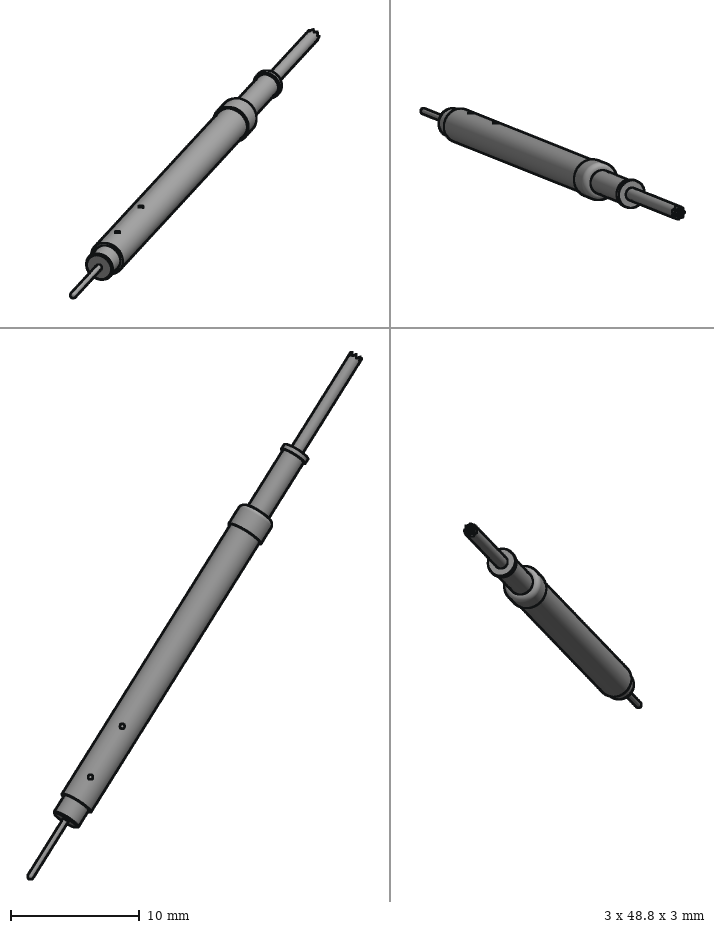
import cadquery as cq

TOTAL_LENGTH = 48.8

PIN_LENGTH = 5.45
PLUG_LENGTH = 1.6
BARREL_LENGTH = 25.1
HEAD_LENGTH = 1.95
SLEEVE_LENGTH = 5.25
COLLAR_LENGTH = 0.45

PIN_DIAMETER = 0.5
PLUG_DIAMETER = 2.25
BARREL_DIAMETER = 2.7
HEAD_DIAMETER = 3.0
SLEEVE_DIAMETER = 1.9
COLLAR_DIAMETER = 2.2
PLUNGER_DIAMETER = 1.02

PLUG_CHAMFER = 0.1
HEAD_FILLET = 0.45

TOOTH_PITCH = 0.365
TOOTH_DEPTH = 0.3

DIMPLE_DIAMETER = 0.4
DIMPLE_DEPTH = 0.15
DIMPLE_FROM_BARREL_END = 2.1
DIMPLE_SPACING = 4.75

pin_end = -TOTAL_LENGTH / 2
plug_start = pin_end + PIN_LENGTH
barrel_start = plug_start + PLUG_LENGTH
head_start = barrel_start + BARREL_LENGTH
sleeve_start = head_start + HEAD_LENGTH
collar_start = sleeve_start + SLEEVE_LENGTH
plunger_start = collar_start + COLLAR_LENGTH
plunger_end = TOTAL_LENGTH / 2


def rod(start, end, diameter):
    """Round section along Y between two stations."""
    return cq.Workplane("XZ", origin=(0, start, 0)).circle(diameter / 2).extrude(start - end)


def make_pin():
    """Tail pin ending in a hemisphere."""
    radius = PIN_DIAMETER / 2
    dome_centre = pin_end + radius
    dome = cq.Workplane("XY", origin=(0, dome_centre, 0)).sphere(radius)
    return rod(dome_centre, plug_start, PIN_DIAMETER).union(dome)


def tip_groove(offset):
    """V groove across the plunger tip, running along Z at the given X offset."""
    half_width = TOOTH_PITCH / 2
    return (
        cq.Workplane("XY")
        .moveTo(offset - half_width, plunger_end)
        .lineTo(offset, plunger_end - TOOTH_DEPTH)
        .lineTo(offset + half_width, plunger_end)
        .close()
        .extrude(PLUNGER_DIAMETER, both=True)
    )


def make_plunger():
    """Plunger rod with V grooves crossing its tip in both directions."""
    plunger = rod(plunger_start, plunger_end, PLUNGER_DIAMETER)
    for offset in (-TOOTH_PITCH / 2, TOOTH_PITCH / 2):
        groove = tip_groove(offset)
        crossing_groove = groove.rotate((0, 0, 0), (0, 1, 0), 90)
        plunger = plunger.cut(groove).cut(crossing_groove)
    return plunger


def dimple(station):
    """Blind round recess in the top of the barrel."""
    floor = BARREL_DIAMETER / 2 - DIMPLE_DEPTH
    return (
        cq.Workplane("XY", origin=(0, station, floor))
        .circle(DIMPLE_DIAMETER / 2)
        .extrude(BARREL_DIAMETER / 2)
    )


def make_barrel():
    """Long barrel with two detent dimples near its tail end."""
    barrel = rod(barrel_start, head_start, BARREL_DIAMETER)
    first_dimple = barrel_start + DIMPLE_FROM_BARREL_END
    for station in (first_dimple, first_dimple + DIMPLE_SPACING):
        barrel = barrel.cut(dimple(station))
    return barrel


plug = rod(plug_start, barrel_start, PLUG_DIAMETER).faces("<Y").chamfer(PLUG_CHAMFER)
head = rod(head_start, sleeve_start, HEAD_DIAMETER).faces(">Y").edges().fillet(HEAD_FILLET)
sleeve = rod(sleeve_start, collar_start, SLEEVE_DIAMETER)
collar = rod(collar_start, plunger_start, COLLAR_DIAMETER)

result = make_pin()
for section in (plug, make_barrel(), head, sleeve, collar, make_plunger()):
    result = result.union(section)